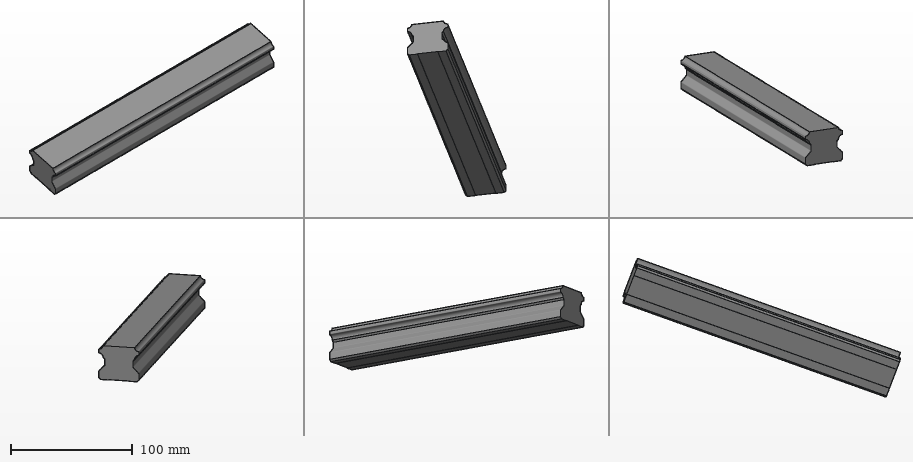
import cadquery as cq
import math

length = 230.0
width = 34.0
height = 29.0
half_width = width / 2

shoulder_fillet = 1.2
base_chamfer = 1.5
shoulder_z = 7.1
neck_half_width = 12.0
shoulder_top_z = shoulder_z + half_width - neck_half_width
neck_fillet = 1.0

lip_bottom_z = 22.5
lip_top_z = 25.8
lip_fillet = 0.58
head_half_width = 13.3
lower_groove_end_z = 19.5
groove_radius = 3.7

undercut_top_z = 18.9
undercut_bottom_z = 17.2
undercut_radius = 2.8

relief_half_width = 8.5
relief_depth = 0.2


def arc_middle(start, end, radius):
    """Middle of an arc from start to end that bulges to the left of its direction."""
    dx = end[0] - start[0]
    dz = end[1] - start[1]
    chord = math.hypot(dx, dz)
    bulge = radius - math.sqrt(radius**2 - (chord / 2) ** 2)
    return (
        (start[0] + end[0]) / 2 - dz / chord * bulge,
        (start[1] + end[1]) / 2 + dx / chord * bulge,
    )


def edge_at(x, z):
    """Selector for the lengthwise edge that passes through (x, z)."""
    margin = 0.02
    return cq.selectors.BoxSelector(
        (x - margin, -length, z - margin),
        (x + margin, length, z + margin),
    )


def half_rail():
    """The +X half of the rail, extruded from its cross-section."""
    undercut_start = (neck_half_width, undercut_bottom_z)
    undercut_end = (head_half_width, undercut_top_z)
    lower_groove_start = (head_half_width, lower_groove_end_z)
    lower_groove_end = (half_width, lip_bottom_z)
    upper_groove_start = (half_width, lip_top_z)
    upper_groove_end = (head_half_width, height)

    profile = (
        cq.Workplane("XZ")
        .moveTo(0, relief_depth)
        .lineTo(relief_half_width, relief_depth)
        .lineTo(relief_half_width, 0)
        .lineTo(half_width - base_chamfer, 0)
        .lineTo(half_width, base_chamfer)
        .lineTo(half_width, shoulder_z)
        .lineTo(neck_half_width, shoulder_top_z)
        .lineTo(*undercut_start)
        .threePointArc(arc_middle(undercut_start, undercut_end, undercut_radius), undercut_end)
        .lineTo(*lower_groove_start)
        .threePointArc(arc_middle(lower_groove_start, lower_groove_end, groove_radius), lower_groove_end)
        .lineTo(*upper_groove_start)
        .threePointArc(arc_middle(upper_groove_start, upper_groove_end, groove_radius), upper_groove_end)
        .lineTo(0, height)
        .close()
    )
    body = profile.extrude(length / 2, both=True)
    rounded_corners = (
        (neck_half_width, shoulder_top_z, neck_fillet),
        (half_width, shoulder_z, shoulder_fillet),
        (half_width, lip_bottom_z, lip_fillet),
        (half_width, lip_top_z, lip_fillet),
    )
    for x, z, radius in rounded_corners:
        body = body.edges(edge_at(x, z)).fillet(radius)
    return body


right_half = half_rail()
result = right_half.union(right_half.mirror("YZ")).clean()